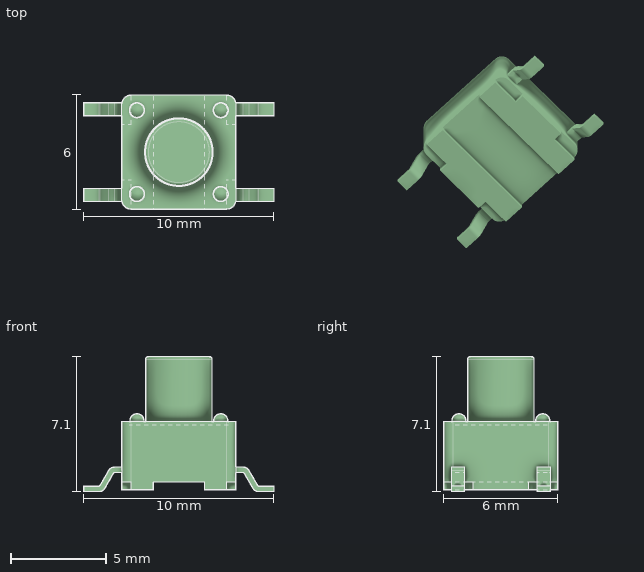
import cadquery as cq
import math

body_side = 6.0
corner_radius = 0.5
body_bottom = 0.1
body_top = 3.7
overall_height = 7.1
lead_span = 10.0

underside_depth = 0.4
channel_width = 2.67
relief_depth = 0.5
end_pad_length = 2.91

button_diameter = 3.5
button_recess_diameter = 3.6
button_edge_radius = 0.15
recess_depth = 0.2

rivet_diameter = 0.75
rivet_recess_diameter = 0.8
rivet_height = 0.4
rivet_offset = 2.2

lead_width = 0.7
lead_thickness = 0.3
lead_offset = 2.25
lead_top = 1.3
lead_slope = math.radians(60)
shoulder_length = 0.38
inner_bend_radius = 0.05
lead_embed = 0.5

half_side = body_side / 2
body_height = body_top - body_bottom
recess_floor = body_top - recess_depth


def cylinder(diameter, z_bottom, z_top, x=0.0, y=0.0):
    """Upright cylinder between two heights."""
    base = cq.Workplane("XY", origin=(x, y, z_bottom))
    return base.circle(diameter / 2).extrude(z_top - z_bottom)


def underside_block(x_size, y_size, x=0.0, y=0.0):
    """Block covering the lowest layer of the body, used as a cutter."""
    base = cq.Workplane("XY", origin=(x, y, body_bottom))
    return base.rect(x_size, y_size).extrude(underside_depth)


def make_body():
    """Square housing with rounded corners, underside channel and corner reliefs."""
    base = cq.Workplane("XY", origin=(0, 0, body_bottom))
    body = base.rect(body_side, body_side).extrude(body_height)
    body = body.edges("|Z").fillet(corner_radius)

    relief_length = (body_side - end_pad_length) / 2
    relief_x = half_side - relief_depth / 2
    relief_y = half_side - relief_length / 2
    for side_x in (-1, 1):
        for side_y in (-1, 1):
            relief = underside_block(relief_depth, relief_length, side_x * relief_x, side_y * relief_y)
            body = body.cut(relief)

    return body.cut(underside_block(channel_width, body_side))


def make_button():
    """Button with a rounded top edge, rising from the recess floor."""
    button = cylinder(button_diameter, recess_floor, overall_height)
    return button.faces(">Z").edges().fillet(button_edge_radius)


def make_rivet(x, y):
    """Short pin with a hemispherical head."""
    rivet_radius = rivet_diameter / 2
    dome_base = body_top + rivet_height - rivet_radius
    pin = cylinder(rivet_diameter, recess_floor, dome_base, x, y)
    dome = cq.Workplane("XY", origin=(x, y, dome_base)).sphere(rivet_radius)
    return pin.union(dome)


def make_lead(y):
    """Lead on the +X side: shoulder, sloped leg and flat foot, with rounded bends."""
    outer_bend_radius = inner_bend_radius + lead_thickness
    upper_center_x = half_side + shoulder_length
    upper_center_z = lead_top - outer_bend_radius
    lower_center_z = outer_bend_radius
    bend_drop = upper_center_z - lower_center_z
    radius_sum = inner_bend_radius + outer_bend_radius
    bend_run = (radius_sum + bend_drop * math.cos(lead_slope)) / math.sin(lead_slope)
    lower_center_x = upper_center_x + bend_run
    root_x = half_side - lead_embed
    tip_x = lead_span / 2

    def upper_bend(radius, angle):
        """Point on the upper bend, with the angle measured from straight up."""
        return (upper_center_x + radius * math.sin(angle), upper_center_z + radius * math.cos(angle))

    def lower_bend(radius, angle):
        """Point on the lower bend, with the angle measured from straight down."""
        return (lower_center_x - radius * math.sin(angle), lower_center_z - radius * math.cos(angle))

    half_slope = lead_slope / 2
    profile = (
        cq.Workplane("XZ", origin=(0, y + lead_width / 2, 0))
        .moveTo(root_x, lead_top - lead_thickness)
        .lineTo(root_x, lead_top)
        .lineTo(upper_center_x, lead_top)
        .threePointArc(upper_bend(outer_bend_radius, half_slope), upper_bend(outer_bend_radius, lead_slope))
        .lineTo(*lower_bend(inner_bend_radius, lead_slope))
        .threePointArc(lower_bend(inner_bend_radius, half_slope), lower_bend(inner_bend_radius, 0))
        .lineTo(tip_x, lead_thickness)
        .lineTo(tip_x, 0)
        .lineTo(lower_center_x, 0)
        .threePointArc(lower_bend(outer_bend_radius, half_slope), lower_bend(outer_bend_radius, lead_slope))
        .lineTo(*upper_bend(inner_bend_radius, lead_slope))
        .threePointArc(upper_bend(inner_bend_radius, half_slope), upper_bend(inner_bend_radius, 0))
        .close()
    )
    return profile.extrude(lead_width)


result = make_body()
result = result.cut(cylinder(button_recess_diameter, recess_floor, body_top))
result = result.union(make_button())

for rivet_x in (-rivet_offset, rivet_offset):
    for rivet_y in (-rivet_offset, rivet_offset):
        result = result.cut(cylinder(rivet_recess_diameter, recess_floor, body_top, rivet_x, rivet_y))
        result = result.union(make_rivet(rivet_x, rivet_y))

for lead_y in (-lead_offset, lead_offset):
    lead = make_lead(lead_y)
    result = result.union(lead).union(lead.mirror("YZ"))